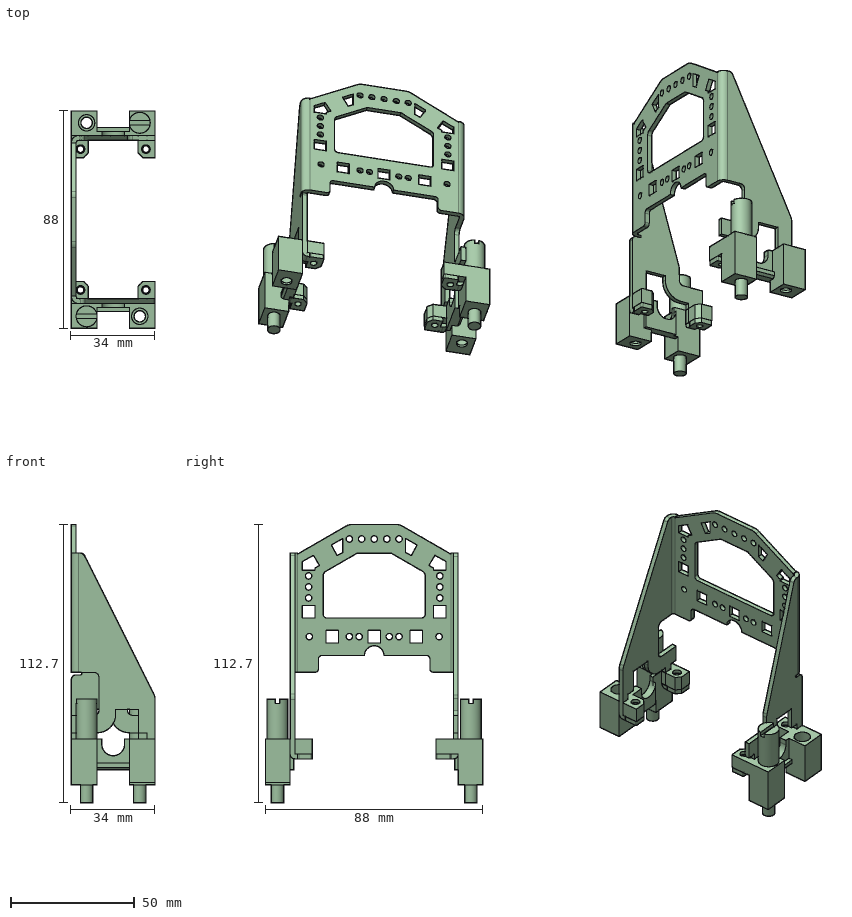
import cadquery as cq
import math

LENGTH = 34.0
HALF_WIDTH = 44.0
TOTAL_HEIGHT = 112.7
SHEET = 2.0
SHEET_OUTER = 34.0
SHEET_INNER = SHEET_OUTER - SHEET

BLOCK_BOTTOM = 7.2
BORE_COLUMN_BOTTOM = 8.2
BLOCK_TOP = 25.9
LUG_BOTTOM = 19.7
COLUMN_LENGTH = 10.5

BEND_BOTTOM = 52.8
SIDE_TOP = 101.1
BEND_RADIUS = 3.0
SLOPE_ANGLE = math.radians(30)
SLOPE_START_X = 4.95
SLOPE_END_Z = 43.0
SIDE_TOP_RADIUS = 2.0
SIDE_REAR_RADIUS = 5.0

FOOT_TOP = 37.8
ARM_TOP = 35.4
ARM_BOTTOM = 28.3
LEG_WIDTH = 6.8
STEM_WIDTH = LEG_WIDTH / 2
LOBE_EDGE = 18.0
LOBE_RADIUS = 7.5
CUTOUT_LENGTH = 11.2
CUTOUT_RADIUS = 2.0
RELIEF_LENGTH = 4.2
RELIEF_HEIGHT = 1.0
RELIEF_END_RADIUS = 0.4
LEG_CORNER_RADIUS = 2.0
TAB_BEND_RADIUS = 2.0
TAB_DEPTH = 6.0
TAB_CORNER_RADIUS = 0.5

LUG_LENGTH = 7.0
LUG_TIP = 25.0
LUG_CHAMFER = 2.0
LUG_HOLE_X = 3.75
LUG_HOLE_Y = 28.5
LUG_HOLE_DIAMETER = 2.6
LUG_COUNTERBORE_DIAMETER = 3.5
LUG_COUNTERBORE_DEPTH = 1.5

SCREW_X = 6.25
SCREW_Y = 39.15
HEAD_DIAMETER = 8.5
HEAD_TOP = 41.9
SHANK_DIAMETER = 5.1
DRIVE_SLOT = 1.7
BORE_DIAMETER = 6.6
BORE_FLOOR = 1.0
BORE_EXIT_DIAMETER = 4.5

WEB_BOTTOM = 13.3
WEB_OUTER = 35.6
SADDLE_WIDTH = 9.1
SADDLE_BOTTOM = 19.1
BOSS_INNER = 32.5
LIP_OUTER = 37.3
LIP_TOP = 16.0
LIP_CHAMFER = 1.0

TOP_EDGE_HALF = 10.2
PLATE_EDGE = SHEET_OUTER - BEND_RADIUS
TOP_CORNER_RADIUS = 5.0
SKIRT_BOTTOM = 59.6
SKIRT_HALF = 22.5
SKIRT_RADIUS = 1.4
CABLE_NOTCH_RADIUS = 3.9
WINDOW_HALF = 20.6
WINDOW_BOTTOM = 74.8
WINDOW_TOP = 100.9
WINDOW_TOP_HALF = 7.0
WINDOW_UPPER_RADIUS = 2.0
WINDOW_LOWER_RADIUS = 1.5
SQUARE = 5.0
ROW_Z = 67.25
ROW_SQUARES_Y = (-17.0, 0.0, 17.0)
SIDE_SQUARE_Y = 26.55
SIDE_SQUARE_Z = 77.3
PLATE_HOLE_DIAMETER = 2.5
ROW_HOLES_Y = (6.1, 10.05, 26.25)
TOP_HOLES_Y = (0.0, 5.1, 10.05)
TOP_HOLES_Z = 106.75
SIDE_HOLES_Z = (82.9, 87.35, 91.8)
INNER_SLOT = [(12.75, 106.9), (17.3, 104.3), (15.0, 100.1), (12.75, 101.3)]
OUTER_SLOT = [(29.05, 97.6), (24.6, 100.1), (22.2, 96.05), (24.05, 95.0), (24.05, 94.2), (29.05, 94.2)]


def box(x0, x1, y0, y1, z0, z1):
    return cq.Workplane("XY").box(x1 - x0, y1 - y0, z1 - z0, centered=False).translate((x0, y0, z0))


def cylinder(diameter, x, y, z0, z1):
    return cq.Workplane("XY", origin=(x, y, z0)).circle(diameter / 2).extrude(z1 - z0)


def turned(body):
    """The body turned half a revolution about the vertical centre axis of the assembly."""
    return body.rotate((LENGTH / 2, 0, 0), (LENGTH / 2, 0, 1), 180)


def mirrored_in_x(body):
    return body.mirror("YZ", (LENGTH / 2, 0, 0))


def plate_prism(points):
    """Prism through the back plate with a (Y, Z) outline."""
    return cq.Workplane("YZ").polyline(points).close().extrude(SHEET)


def round_plate_corners(body, roundings):
    """Fillet (Y, Z, radius) corners of a back plate prism, on both sides of the middle."""
    for y, z, radius in roundings:
        for side in (-1, 1):
            corner = cq.selectors.NearestToPointSelector((SHEET / 2, side * y, z))
            body = body.edges(corner).fillet(radius)
    return body


def back_plate():
    shoulder_z = TOTAL_HEIGHT - (PLATE_EDGE - TOP_EDGE_HALF) * math.tan(SLOPE_ANGLE)
    half = [
        (TOP_EDGE_HALF, TOTAL_HEIGHT),
        (PLATE_EDGE, shoulder_z),
        (PLATE_EDGE, BEND_BOTTOM),
        (SKIRT_HALF, BEND_BOTTOM),
        (SKIRT_HALF, SKIRT_BOTTOM),
    ]
    plate = plate_prism(half + [(-y, z) for y, z in reversed(half)])
    roundings = (
        (TOP_EDGE_HALF, TOTAL_HEIGHT, TOP_CORNER_RADIUS),
        (SKIRT_HALF, BEND_BOTTOM, SKIRT_RADIUS),
        (SKIRT_HALF, SKIRT_BOTTOM, SKIRT_RADIUS),
    )
    plate = round_plate_corners(plate, roundings)

    shoulder_z = WINDOW_TOP - (WINDOW_HALF - WINDOW_TOP_HALF) * math.tan(SLOPE_ANGLE)
    half = [(WINDOW_TOP_HALF, WINDOW_TOP), (WINDOW_HALF, shoulder_z), (WINDOW_HALF, WINDOW_BOTTOM)]
    window = plate_prism(half + [(-y, z) for y, z in reversed(half)])
    roundings = (
        (WINDOW_HALF, shoulder_z, WINDOW_UPPER_RADIUS),
        (WINDOW_HALF, WINDOW_BOTTOM, WINDOW_LOWER_RADIUS),
    )
    plate = plate.cut(round_plate_corners(window, roundings))

    squares = [(y, ROW_Z) for y in ROW_SQUARES_Y]
    holes = []
    for side in (-1, 1):
        squares.append((side * SIDE_SQUARE_Y, SIDE_SQUARE_Z))
        holes += [(side * y, ROW_Z) for y in ROW_HOLES_Y]
        holes += [(side * y, TOP_HOLES_Z) for y in TOP_HOLES_Y if y or side > 0]
        holes += [(side * SIDE_SQUARE_Y, z) for z in SIDE_HOLES_Z]
        for slot in (INNER_SLOT, OUTER_SLOT):
            plate = plate.cut(plate_prism([(side * y, z) for y, z in slot]))
    plate = plate.cut(cq.Workplane("YZ").pushPoints(squares).rect(SQUARE, SQUARE).extrude(SHEET))
    plate = plate.cut(cq.Workplane("YZ").pushPoints(holes).circle(PLATE_HOLE_DIAMETER / 2).extrude(SHEET))
    return plate.cut(cq.Workplane("YZ").center(0, SKIRT_BOTTOM).circle(CABLE_NOTCH_RADIUS).extrude(SHEET))


def bend():
    """Quarter-round bend joining the back plate to the side plate at -Y."""
    centre_y = -SHEET_OUTER + BEND_RADIUS
    height = SIDE_TOP - BEND_BOTTOM
    ring = (
        cq.Workplane("XY", origin=(BEND_RADIUS, centre_y, BEND_BOTTOM))
        .circle(BEND_RADIUS)
        .circle(BEND_RADIUS - SHEET)
        .extrude(height)
    )
    return ring.intersect(box(0, BEND_RADIUS, -SHEET_OUTER, centre_y, BEND_BOTTOM, SIDE_TOP))


def side_sheet(rear_x):
    """Side plate at -Y above the feet: slopes down to its rear edge, runs to X = 0 below the bend."""
    sheet = (
        cq.Workplane("XZ", origin=(0, -SHEET_INNER, 0))
        .polyline([
            (BEND_RADIUS, SIDE_TOP),
            (SLOPE_START_X, SIDE_TOP),
            (rear_x, SLOPE_END_Z),
            (rear_x, FOOT_TOP),
            (0, FOOT_TOP),
            (0, BEND_BOTTOM),
            (BEND_RADIUS, BEND_BOTTOM),
        ])
        .close()
        .extrude(SHEET)
    )
    roundings = (
        (SLOPE_START_X, SIDE_TOP, SIDE_TOP_RADIUS),
        (rear_x, SLOPE_END_Z, SIDE_REAR_RADIUS),
    )
    for x, z, radius in roundings:
        corner = cq.selectors.NearestToPointSelector((x, -SHEET_INNER - SHEET / 2, z))
        sheet = sheet.edges(corner).fillet(radius)
    return sheet


def lug_outline(tip_length):
    """Chamfered lug footprint at the low-X end, from its tip towards -Y."""
    root = -LUG_TIP - tip_length
    return cq.Workplane("XY").polyline([
        (0, root),
        (0, -LUG_TIP),
        (LUG_LENGTH - LUG_CHAMFER, -LUG_TIP),
        (LUG_LENGTH, -LUG_TIP - LUG_CHAMFER),
        (LUG_LENGTH, root),
    ]).close()


def tab():
    """Tab under the low-X lug."""
    plate = lug_outline(TAB_DEPTH).extrude(SHEET).translate((0, 0, LUG_BOTTOM - SHEET))
    plate = plate.edges("|Z and <X").fillet(TAB_CORNER_RADIUS)
    return plate.cut(cylinder(LUG_HOLE_DIAMETER, LUG_HOLE_X, -LUG_HOLE_Y, LUG_BOTTOM - SHEET, LUG_BOTTOM))


def stem(x0):
    """Strip that runs down through the block and bends inward into a tab."""
    tab_bottom = LUG_BOTTOM - SHEET
    upright = box(x0, x0 + STEM_WIDTH, -SHEET_OUTER, -SHEET_INNER, tab_bottom, ARM_BOTTOM)
    neck = box(x0, x0 + STEM_WIDTH, -SHEET_INNER, -LUG_TIP - TAB_DEPTH, tab_bottom, LUG_BOTTOM)
    return upright.union(neck).edges("|X and <Y and <Z").fillet(TAB_BEND_RADIUS)


def foot():
    """Lower part of the -Y side plate: rear leg, lobe with its arm, and the two bent tabs."""
    lobe_centre_z = ARM_BOTTOM + LOBE_RADIUS
    diagonal = LOBE_RADIUS * math.sqrt(0.5)
    lobe_centre_x = LOBE_EDGE - LOBE_RADIUS
    lobe = (
        cq.Workplane("XZ", origin=(0, -SHEET_INNER, 0))
        .moveTo(0, ARM_BOTTOM)
        .lineTo(lobe_centre_x, ARM_BOTTOM)
        .threePointArc(
            (lobe_centre_x + diagonal, lobe_centre_z - diagonal),
            (LOBE_EDGE, lobe_centre_z),
        )
        .lineTo(LOBE_EDGE, FOOT_TOP)
        .lineTo(0, FOOT_TOP)
        .close()
        .extrude(SHEET)
    )
    leg = box(LENGTH - LEG_WIDTH, LENGTH, -SHEET_OUTER, -SHEET_INNER, ARM_BOTTOM, FOOT_TOP)
    lower = lobe.union(leg)
    for x0 in (STEM_WIDTH, LENGTH - STEM_WIDTH):
        lower = lower.union(stem(x0))
    return lower.union(tab()).union(mirrored_in_x(tab()))


def arm_cutout():
    """Opening above the arm of the -Y foot, rounded where it meets the side plate."""
    opening = box(0, CUTOUT_LENGTH, -SHEET_OUTER, -SHEET_INNER, ARM_TOP, BEND_BOTTOM)
    return opening.edges("|Y and >X").fillet(CUTOUT_RADIUS)


def bend_relief():
    """Slit under the bend at +Y, with the rounded top corner of the leg below it."""
    slit_bottom = BEND_BOTTOM - RELIEF_HEIGHT
    slit = box(0, RELIEF_LENGTH, SHEET_INNER, SHEET_OUTER, slit_bottom, BEND_BOTTOM)
    slit = slit.edges("|Y and >X").fillet(RELIEF_END_RADIUS)
    radius = LEG_CORNER_RADIUS
    corner = box(0, radius, SHEET_INNER, SHEET_OUTER, slit_bottom - radius, slit_bottom)
    round_leg = (
        cq.Workplane("XZ", origin=(radius, SHEET_OUTER, slit_bottom - radius)).circle(radius).extrude(SHEET)
    )
    return slit.union(corner.cut(round_leg))


def make_bracket():
    low_side = side_sheet(LENGTH).union(foot()).cut(arm_cutout())
    high_side = side_sheet(LENGTH - CUTOUT_LENGTH).mirror("XZ").union(turned(foot()))
    high_side = high_side.cut(turned(arm_cutout())).cut(bend_relief())
    body = back_plate().union(bend()).union(bend().mirror("XZ"))
    return body.union(low_side).union(high_side)


def make_block():
    """Mounting block at -Y: two columns with lugs, joined by a saddle web."""
    second_column = LENGTH - COLUMN_LENGTH
    body = box(0, LENGTH, -WEB_OUTER, -SHEET_OUTER, WEB_BOTTOM, BLOCK_TOP)
    for x0, bottom in ((0, BLOCK_BOTTOM), (second_column, BORE_COLUMN_BOTTOM)):
        body = body.union(box(x0, x0 + COLUMN_LENGTH, -HALF_WIDTH, -SHEET_OUTER, bottom, BLOCK_TOP))

    lug = lug_outline(SHEET_OUTER - LUG_TIP).extrude(BLOCK_TOP - LUG_BOTTOM).translate((0, 0, LUG_BOTTOM))
    lug = lug.cut(cylinder(LUG_HOLE_DIAMETER, LUG_HOLE_X, -LUG_HOLE_Y, LUG_BOTTOM, BLOCK_TOP))
    counterbore_z = BLOCK_TOP - LUG_COUNTERBORE_DEPTH
    lug = lug.cut(cylinder(LUG_COUNTERBORE_DIAMETER, LUG_HOLE_X, -LUG_HOLE_Y, counterbore_z, BLOCK_TOP))
    body = body.union(lug).union(mirrored_in_x(lug))

    lip = box(COLUMN_LENGTH, second_column, -LIP_OUTER, -WEB_OUTER, WEB_BOTTOM, LIP_TOP)
    body = body.union(lip.edges("|X and <Y and <Z").chamfer(LIP_CHAMFER))

    middle = LENGTH / 2
    saddle_radius = SADDLE_WIDTH / 2
    saddle_z = SADDLE_BOTTOM + saddle_radius
    left, right = middle - saddle_radius, middle + saddle_radius
    boss = box(left, LENGTH - LUG_LENGTH, -SHEET_OUTER, -BOSS_INNER, WEB_BOTTOM, BLOCK_TOP)
    saddle = box(left, right, -WEB_OUTER, -BOSS_INNER, saddle_z, BLOCK_TOP).union(
        cq.Workplane("XZ", origin=(middle, -BOSS_INNER, saddle_z))
        .circle(saddle_radius)
        .extrude(WEB_OUTER - BOSS_INNER)
    )
    body = body.union(boss).cut(saddle)

    for x0 in (STEM_WIDTH, LENGTH - STEM_WIDTH):
        body = body.cut(box(x0, x0 + STEM_WIDTH, -SHEET_OUTER, -SHEET_INNER, LUG_BOTTOM, BLOCK_TOP))

    body = body.cut(cylinder(SHANK_DIAMETER, SCREW_X, -SCREW_Y, BLOCK_BOTTOM, BLOCK_TOP))
    bore_x = LENGTH - SCREW_X
    body = body.cut(cylinder(BORE_DIAMETER, bore_x, -SCREW_Y, BORE_COLUMN_BOTTOM + BORE_FLOOR, BLOCK_TOP))
    return body.cut(cylinder(BORE_EXIT_DIAMETER, bore_x, -SCREW_Y, BORE_COLUMN_BOTTOM, BLOCK_TOP))


def make_screw():
    """Slotted screw standing in the low-X column of the -Y block."""
    head = cylinder(HEAD_DIAMETER, SCREW_X, -SCREW_Y, BLOCK_TOP, HEAD_TOP)
    half_head = HEAD_DIAMETER / 2
    slot = box(
        SCREW_X - half_head, SCREW_X + half_head,
        -SCREW_Y - DRIVE_SLOT / 2, -SCREW_Y + DRIVE_SLOT / 2,
        HEAD_TOP - DRIVE_SLOT, HEAD_TOP,
    )
    return head.cut(slot).union(cylinder(SHANK_DIAMETER, SCREW_X, -SCREW_Y, 0, BLOCK_TOP))


bracket = make_bracket()
solids = bracket.solids().vals()
for half_turns in range(2):
    for part in (make_block(), make_screw()):
        placed = turned(part) if half_turns else part
        solids += placed.solids().vals()

result = cq.Compound.makeCompound(solids)